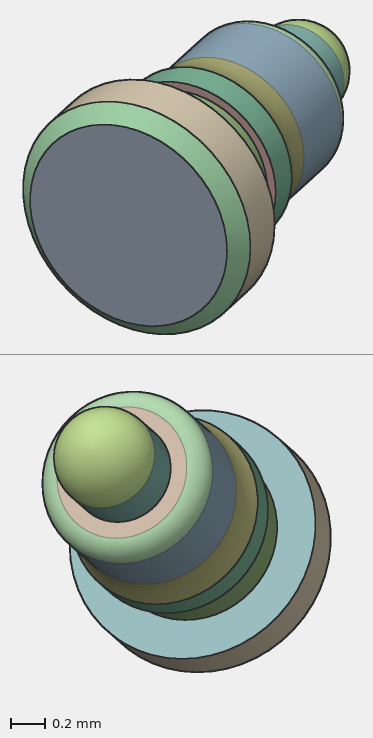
import cadquery as cq
import math

total_length = 2.4
flange_thickness = 0.4
barb_start = 0.75
barb_end = 0.95
taper_end = 1.2
barrel_end = 1.78

flange_radius = 1.5 / 2
barrel_radius = 1.032 / 2
barb_radius = 1.14 / 2
plunger_radius = 0.6 / 2

flange_chamfer = 0.1
barrel_fillet = 0.12

taper_length = taper_end - barb_end
taper_rise = barb_radius - barrel_radius
taper_arc_radius = (taper_length**2 + taper_rise**2) / (2 * taper_rise)
taper_half_angle = math.asin(taper_length / taper_arc_radius) / 2
taper_middle = (
    barrel_radius + taper_arc_radius * (1 - math.cos(taper_half_angle)),
    taper_end - taper_arc_radius * math.sin(taper_half_angle),
)

arc_cos = math.cos(math.pi / 4)
fillet_center = (barrel_radius - barrel_fillet, barrel_end - barrel_fillet)
fillet_middle = (
    fillet_center[0] + barrel_fillet * arc_cos,
    fillet_center[1] + barrel_fillet * arc_cos,
)
tip_center = total_length - plunger_radius
tip_middle = (plunger_radius * arc_cos, tip_center + plunger_radius * arc_cos)

profile = (
    cq.Workplane("XY")
    .moveTo(0, 0)
    .lineTo(flange_radius - flange_chamfer, 0)
    .lineTo(flange_radius, flange_chamfer)
    .lineTo(flange_radius, flange_thickness)
    .lineTo(barrel_radius, flange_thickness)
    .lineTo(barrel_radius, barb_start)
    .lineTo(barb_radius, barb_start)
    .lineTo(barb_radius, barb_end)
    .threePointArc(taper_middle, (barrel_radius, taper_end))
    .lineTo(barrel_radius, fillet_center[1])
    .threePointArc(fillet_middle, (fillet_center[0], barrel_end))
    .lineTo(plunger_radius, barrel_end)
    .lineTo(plunger_radius, tip_center)
    .threePointArc(tip_middle, (0, total_length))
    .close()
)

result = profile.revolve(360, (0, 0, 0), (0, 1, 0))